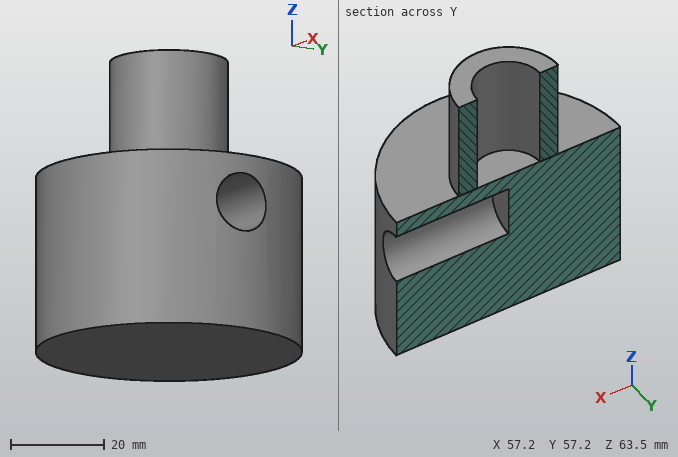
import cadquery as cq

housing_diameter = 57.15
housing_height = 38.1
tube_outer_diameter = 25.4
tube_bore_diameter = 15.9
overall_height = 63.5
port_diameter = 12.7
port_height = 27.6

tube_length = overall_height - housing_height
port_depth = housing_diameter / 2


def make_housing():
    """Round block with a blind radial port bored from the +X side."""
    block = cq.Workplane("XY").circle(housing_diameter / 2).extrude(housing_height)
    port = (
        cq.Workplane("YZ")
        .center(0, port_height)
        .circle(port_diameter / 2)
        .extrude(port_depth)
    )
    return block.cut(port)


def make_tube():
    """Plain tube standing on the housing, its bore closed below by the housing top."""
    return (
        cq.Workplane("XY")
        .workplane(offset=housing_height)
        .circle(tube_outer_diameter / 2)
        .circle(tube_bore_diameter / 2)
        .extrude(tube_length)
    )


housing = make_housing()
tube = make_tube()

result = cq.Compound.makeCompound([housing.val(), tube.val()])